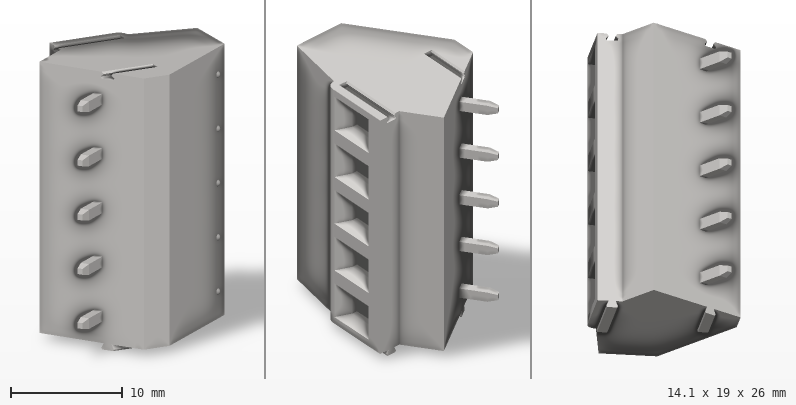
import cadquery as cq
import math

poles = 5
pitch = 5.08
height = poles * pitch
tilt = 55.0

left_x = -6.0
right_x = 6.06
tip_x = -7.85
tip_y = 5.4
entry_length = 7.36
entry_corner_radius = 0.88
peak_y = 15.52
right_top_y = 12.53
right_bottom_y = 2.1

entry_center_distance = 3.92
mouth_length = 4.69
mouth_width = 3.65
throat_width = 2.56
throat_length = 3.48
funnel_depth = 1.07
throat_depth = 0.54

pin_width = 0.82
pin_thickness = 1.0
pin_length = 3.51
pin_tip_length = 0.9
pin_tip_width = 0.5
pin_tip_thickness = 0.55
pin_embed = 1.0

dovetail_ends = [(-2.97, 10.05), (3.65, 3.92)]
dovetail_reach = 8.0
rib_profile = [(0.0, 0.325), (-0.46, 0.525), (-0.6, 0.45)]
groove_profile = [(0.0, 0.475), (-0.19, 0.325), (-0.46, 0.56), (-0.65, 0.49)]

nub_y = 11.27
nub_radius = 0.3
nub_height = 0.2

along = (math.cos(math.radians(tilt)), math.sin(math.radians(tilt)))
inward = (along[1], -along[0])


def from_tip(distance, depth):
    """Point at a distance along the entry face and a depth behind it."""
    return (
        tip_x + distance * along[0] + depth * inward[0],
        tip_y + distance * along[1] + depth * inward[1],
    )


def pole_heights():
    """Z of each pole centre, half a pitch in from the ends."""
    return [(index + 0.5) * pitch for index in range(poles)]


def make_outline_prism(bottom, top):
    """Body outline extruded between two heights."""
    round_start = from_tip(entry_length - entry_corner_radius, 0)
    notch = from_tip(entry_length, entry_corner_radius)
    arc_inset = entry_corner_radius * (1 - math.sqrt(0.5))
    round_middle = from_tip(entry_length - arc_inset, arc_inset)
    peak_x = notch[0] + peak_y - notch[1]
    left_top_y = tip_y + (left_x - tip_x) * inward[1] / inward[0]
    right_bottom_x = right_x - right_bottom_y * along[0] / along[1]
    return (
        cq.Workplane("XY", origin=(0, 0, bottom))
        .moveTo(tip_x, tip_y)
        .lineTo(*round_start)
        .threePointArc(round_middle, notch)
        .lineTo(peak_x, peak_y)
        .lineTo(right_x, right_top_y)
        .lineTo(right_x, right_bottom_y)
        .lineTo(right_bottom_x, 0)
        .lineTo(left_x, 0)
        .lineTo(left_x, left_top_y)
        .close()
        .extrude(top - bottom)
    )


def make_wire_entry(center_z):
    """Funnel and short throat; three walls flare, the one nearest the tip is straight."""
    center = from_tip(entry_center_distance, 0)
    throat_shift = (throat_length - mouth_length) / 2
    plane = cq.Plane(
        origin=(center[0], center[1], center_z),
        xDir=(along[0], along[1], 0),
        normal=(inward[0], inward[1], 0),
    )
    funnel = (
        cq.Workplane(plane)
        .rect(mouth_length, mouth_width)
        .workplane(offset=funnel_depth)
        .center(throat_shift, 0)
        .rect(throat_length, throat_width)
        .loft(ruled=True)
    )
    throat = (
        cq.Workplane(plane)
        .workplane(offset=funnel_depth)
        .center(throat_shift, 0)
        .rect(throat_length, throat_width)
        .extrude(throat_depth)
    )
    return funnel.union(throat)


def make_dovetail(end, profile, mating_z):
    """Bar of mirrored profile that runs from its closed end out at -along."""
    plane = cq.Plane(
        origin=(end[0], end[1], mating_z),
        xDir=(inward[0], inward[1], 0),
        normal=(-along[0], -along[1], 0),
    )
    one_side = [(half, z) for z, half in profile]
    other_side = [(-half, z) for half, z in reversed(one_side)]
    return cq.Workplane(plane).polyline(one_side + other_side).close().extrude(dovetail_reach)


def make_pin(center_z):
    """Rectangular pin with a tapered tip, rooted inside the body."""
    shank_length = pin_length - pin_tip_length
    shank = (
        cq.Workplane("XZ", origin=(0, pin_embed, center_z))
        .rect(pin_width, pin_thickness)
        .extrude(pin_embed + shank_length)
    )
    tip = (
        cq.Workplane("XZ", origin=(0, -shank_length, center_z))
        .rect(pin_width, pin_thickness)
        .workplane(offset=pin_tip_length)
        .rect(pin_tip_width, pin_tip_thickness)
        .loft(ruled=True)
    )
    return shank.union(tip)


def make_nub(center_z):
    """Shallow round cap standing on the +X side."""
    sphere_radius = (nub_radius**2 + nub_height**2) / (2 * nub_height)
    center_x = right_x + nub_height - sphere_radius
    diagonal = sphere_radius * math.sqrt(0.5)
    return (
        cq.Workplane("XY", origin=(center_x, nub_y, center_z))
        .lineTo(sphere_radius, 0)
        .threePointArc((diagonal, diagonal), (0, sphere_radius))
        .close()
        .revolve(360, (0, 0, 0), (1, 0, 0))
    )


result = make_outline_prism(0, height)
rib_envelope = make_outline_prism(rib_profile[-1][0], 0)
for end in dovetail_ends:
    result = result.cut(make_dovetail(end, groove_profile, height))
    result = result.union(make_dovetail(end, rib_profile, 0).intersect(rib_envelope))
for z in pole_heights():
    result = result.cut(make_wire_entry(z))
    result = result.union(make_pin(z)).union(make_nub(z))